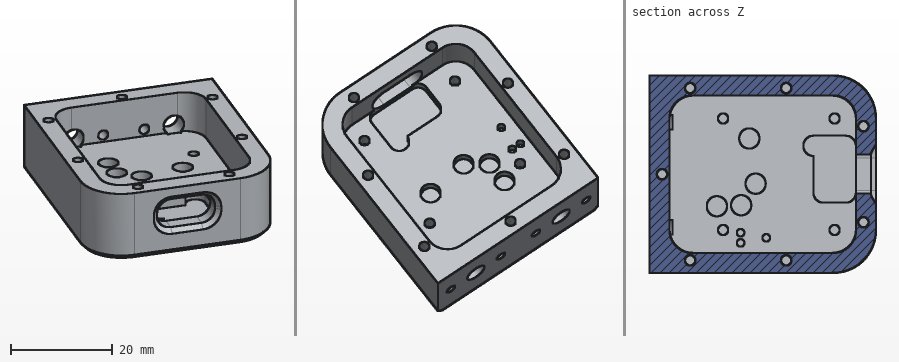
import cadquery as cq

LENGTH = 44.75
WIDTH = 39.0
HEIGHT = 14.5
WALL = 4.0
FLOOR_Z = 6.0
OUTER_RADIUS = 8.5
INNER_RADIUS = OUTER_RADIUS - WALL
BOTTOM_CHAMFER = 1.0

CAVITY_END_X = LENGTH - WALL
SCREW_DIAMETER = 2.01
OVERCUT = 1.0

RIM_INSET = 2.5
RIM_SIDE_X = (8.05, 27.0)
RIM_END_Y = 9.475
RIM_HOLE_DEPTH = 6.0

BOARD_CENTER_X = 25.55
BOARD_PITCH = 22.0
BOARD_HOLE_DEPTH = 4.0

PIT_DIAMETER = 4.0
PIT_DEPTH = 2.0
PIT_CENTERS = ((19.72, 7.05), (20.97, -1.87), (13.32, -6.32), (18.12, -6.12))
PIN_DIAMETER = 1.5
PIN_DEPTH = 2.0
PIN_CENTERS = ((18.0, -11.55), (18.0, -13.55), (23.07, -12.55))

POCKET_DEPTH = 2.0
POCKET_RADIUS = 2.0
POCKET_START_X = 32.37
POCKET_BOTTOM_Y = -5.63
POCKET_TOP_Y = 7.6

CONNECTOR_Z = 7.5
CONNECTOR_CENTER_Y = -0.12
CONNECTOR_DIAMETER = 4.15
CONNECTOR_HALF_PITCH = 10.37
CONNECTOR_SCREW_OFFSET = 6.1
CONNECTOR_HOLE_DEPTH = 4.55

SLOT_LENGTH = 12.0
SLOT_HEIGHT = 6.15
SLOT_RADIUS = 2.8
SLOT_Z = 8.5
SLOT_CHAMFER = 1.0


def make_body():
    """Block with a rounded end, chamfered underneath except along the left face."""
    body = cq.Workplane("XY").box(LENGTH, WIDTH, HEIGHT, centered=(False, True, False))
    body = body.edges("|Z and >X").fillet(OUTER_RADIUS)
    return body.faces("<Z").edges("not <X").chamfer(BOTTOM_CHAMFER)


def make_cavity():
    """Round-cornered cavity, open at the top."""
    cavity = cq.Workplane("XY").box(
        CAVITY_END_X - WALL,
        WIDTH - 2 * WALL,
        HEIGHT - FLOOR_Z + OVERCUT,
        centered=(False, True, False),
    )
    return cavity.edges("|Z").fillet(INNER_RADIUS).translate((WALL, 0, FLOOR_Z))


def holes_down(centers, top_z, diameter, depth):
    """Flat-bottomed vertical holes going down from top_z."""
    return (
        cq.Workplane("XY", origin=(0, 0, top_z))
        .pushPoints(centers)
        .circle(diameter / 2)
        .extrude(-depth)
    )


def rim_holes():
    """Lid screw holes: two per long side, two at the end, one at the left."""
    side_y = WIDTH / 2 - RIM_INSET
    centers = [(RIM_INSET, 0)]
    for side in (-1, 1):
        centers += [(x, side * side_y) for x in RIM_SIDE_X]
        centers.append((LENGTH - RIM_INSET, side * RIM_END_Y))
    return holes_down(centers, HEIGHT, SCREW_DIAMETER, RIM_HOLE_DEPTH)


def board_holes():
    """Four screw holes on the corners of a square."""
    half = BOARD_PITCH / 2
    centers = [(BOARD_CENTER_X + i * half, j * half) for i in (-1, 1) for j in (-1, 1)]
    return holes_down(centers, FLOOR_Z, SCREW_DIAMETER, BOARD_HOLE_DEPTH)


def floor_pocket():
    """Rounded pocket with a round-ended lobe on its left side."""
    r = POCKET_RADIUS
    main = cq.Workplane("XY").box(
        CAVITY_END_X - POCKET_START_X,
        POCKET_TOP_Y - POCKET_BOTTOM_Y,
        POCKET_DEPTH,
        centered=False,
    )
    main = main.edges("|Z and (>X or <Y)").fillet(r)
    main = main.translate((POCKET_START_X, POCKET_BOTTOM_Y, FLOOR_Z - POCKET_DEPTH))
    lobe = holes_down([(POCKET_START_X, POCKET_TOP_Y - r)], FLOOR_Z, 2 * r, POCKET_DEPTH)
    return main.union(lobe)


def connector_holes():
    """Two connector holes, each with a screw hole on either side, drilled from the left face."""
    holes = cq.Workplane("XY")
    for side in (-1, 1):
        for offset, diameter in (
            (-CONNECTOR_SCREW_OFFSET, SCREW_DIAMETER),
            (0, CONNECTOR_DIAMETER),
            (CONNECTOR_SCREW_OFFSET, SCREW_DIAMETER),
        ):
            y = CONNECTOR_CENTER_Y + side * CONNECTOR_HALF_PITCH + offset
            hole = (
                cq.Workplane("YZ")
                .center(y, CONNECTOR_Z)
                .circle(diameter / 2)
                .extrude(CONNECTOR_HOLE_DEPTH)
            )
            holes = holes.add(hole)
    return holes.combine()


def plug_slot():
    """Round-cornered slot through the end wall, widening at the outer face."""
    slot = cq.Workplane("XY").box(WALL, SLOT_LENGTH, SLOT_HEIGHT, centered=(False, True, True))
    slot = slot.edges("|X").fillet(SLOT_RADIUS).translate((CAVITY_END_X, 0, SLOT_Z))
    mouth = (
        slot.faces(">X")
        .wires()
        .toPending()
        .offset2D(SLOT_CHAMFER)
        .extrude(-SLOT_CHAMFER, combine=False, taper=45)
    )
    return slot.union(mouth)


result = (
    make_body()
    .cut(make_cavity())
    .cut(rim_holes())
    .cut(board_holes())
    .cut(holes_down(PIT_CENTERS, FLOOR_Z, PIT_DIAMETER, PIT_DEPTH))
    .cut(holes_down(PIN_CENTERS, FLOOR_Z, PIN_DIAMETER, PIN_DEPTH))
    .cut(floor_pocket())
    .cut(connector_holes())
    .cut(plug_slot())
)